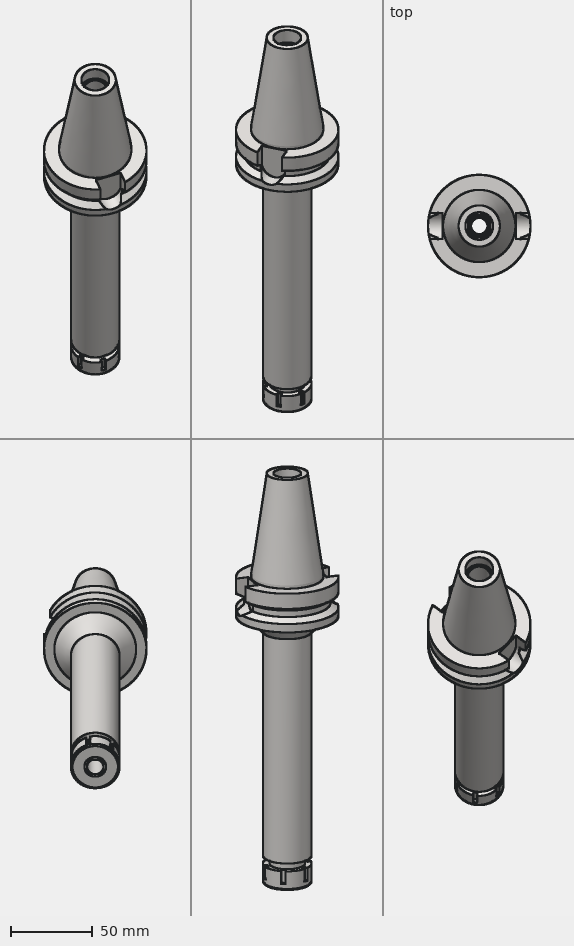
import cadquery as cq
import math


GAUGE_DIA = 44.3
TAPER_LENGTH = 65.3
TAPER_RATIO = 7 / 24
TAPER_END_DIA = GAUGE_DIA - TAPER_LENGTH * TAPER_RATIO
OVERALL_LENGTH = 265.5
NOSE_Z = TAPER_LENGTH - OVERALL_LENGTH

FLANGE_DIA = 63.0
FLANGE_TOP_Z = -2.0
FLANGE_BOTTOM_Z = -27.0
GROOVE_DIA = 53.0
GROOVE_MID_Z = -16.7
GROOVE_MOUTH = 9.8
GROOVE_SIDE_ANGLE = 30.0
GROOVE_SIDE_HEIGHT = (FLANGE_DIA - GROOVE_DIA) / 2 * math.tan(math.radians(GROOVE_SIDE_ANGLE))
GROOVE_FLOOR = GROOVE_MOUTH - 2 * GROOVE_SIDE_HEIGHT

KEYWAY_WIDTH = 16.2
KEYWAY_FLOOR_X = 22.5
KEYWAY_BOTTOM_Z = -23.0

SHANK_DIA = 30.0
SHANK_CONE_HEIGHT = 10.0
SHANK_CONE_DIA = SHANK_DIA + 2 * SHANK_CONE_HEIGHT
SHANK_END_Z = -182.5

NUT_DIA = SHANK_DIA
NUT_HEIGHT = 12.5
NUT_TOP_Z = NOSE_Z + NUT_HEIGHT
NUT_CHAMFER = 1.0
SLOT_COUNT = 6
SLOT_WIDTH = 2.7
SLOT_HEIGHT = 8.2
SLOT_DEPTH = 2.0

NECK_DIA = 22.0
NUT_FLOOR_THICKNESS = 4.0
NECK_END_Z = NOSE_Z + NUT_FLOOR_THICKNESS

COUNTERBORE_DIA = 17.0
COUNTERBORE_DEPTH = 9.0
DRAWBAR_BORE_DIA = 14.0
DRAWBAR_BORE_DEPTH = 31.8
CLEARANCE_BORE_DIA = 12.2

COLLET_DIA = 17.0
COLLET_BORE_DIA = 10.0
COLLET_HALF_ANGLE = 8.0
COLLET_NOSE_DIA = 13.3
COLLET_CONE_HEIGHT = (COLLET_DIA - CLEARANCE_BORE_DIA) / 2 / math.tan(math.radians(COLLET_HALF_ANGLE))
COLLET_TOP_Z = NECK_END_Z + COLLET_CONE_HEIGHT


def turned(diameter_height_points):
    """Solid of revolution about Z, from (diameter, z) points closed along the axis."""
    first_z = diameter_height_points[0][1]
    last_z = diameter_height_points[-1][1]
    profile = [(diameter / 2, z) for diameter, z in diameter_height_points]
    profile = [(0, first_z)] + profile + [(0, last_z)]
    return cq.Workplane("XZ").polyline(profile).close().revolve(360, (0, 0), (0, 1))


def cylinder(diameter, bottom_z, top_z):
    return cq.Workplane("XY").workplane(offset=bottom_z).circle(diameter / 2).extrude(top_z - bottom_z)


def collet_blank():
    """Outside of the collet, which is also the shape of its seat in the holder and the nut."""
    return turned([
        (CLEARANCE_BORE_DIA, COLLET_TOP_Z),
        (COLLET_DIA, NECK_END_Z),
        (COLLET_NOSE_DIA, NOSE_Z),
    ])


def holder_blank():
    return turned([
        (TAPER_END_DIA, TAPER_LENGTH),
        (GAUGE_DIA, 0),
        (GAUGE_DIA, FLANGE_TOP_Z),
        (FLANGE_DIA, FLANGE_TOP_Z),
        (FLANGE_DIA, GROOVE_MID_Z + GROOVE_MOUTH / 2),
        (GROOVE_DIA, GROOVE_MID_Z + GROOVE_FLOOR / 2),
        (GROOVE_DIA, GROOVE_MID_Z - GROOVE_FLOOR / 2),
        (FLANGE_DIA, GROOVE_MID_Z - GROOVE_MOUTH / 2),
        (FLANGE_DIA, FLANGE_BOTTOM_Z),
        (SHANK_CONE_DIA, FLANGE_BOTTOM_Z),
        (SHANK_DIA, FLANGE_BOTTOM_Z - SHANK_CONE_HEIGHT),
        (SHANK_DIA, SHANK_END_Z),
        (NECK_DIA, SHANK_END_Z),
        (NECK_DIA, NECK_END_Z),
    ])


def holder_bore():
    counterbore_z = TAPER_LENGTH - COUNTERBORE_DEPTH
    drawbar_bore_z = TAPER_LENGTH - DRAWBAR_BORE_DEPTH
    return turned([
        (COUNTERBORE_DIA, TAPER_LENGTH),
        (COUNTERBORE_DIA, counterbore_z),
        (DRAWBAR_BORE_DIA, counterbore_z),
        (DRAWBAR_BORE_DIA, drawbar_bore_z),
        (CLEARANCE_BORE_DIA, drawbar_bore_z),
        (CLEARANCE_BORE_DIA, COLLET_TOP_Z),
    ])


def keyway(side):
    """Round-bottomed keyway cutter, for the +X side (side = 1) or the -X side (side = -1)."""
    half_width = KEYWAY_WIDTH / 2
    arc_start_z = KEYWAY_BOTTOM_Z + half_width
    return (
        cq.Workplane("YZ")
        .workplane(offset=side * KEYWAY_FLOOR_X)
        .moveTo(-half_width, FLANGE_TOP_Z)
        .lineTo(-half_width, arc_start_z)
        .threePointArc((0, KEYWAY_BOTTOM_Z), (half_width, arc_start_z))
        .lineTo(half_width, FLANGE_TOP_Z)
        .close()
        .extrude(side * FLANGE_DIA / 2)
    )


def make_holder():
    holder = holder_blank().cut(holder_bore()).cut(collet_blank())
    for side in (-1, 1):
        holder = holder.cut(keyway(side))
    return holder


def make_collet():
    return collet_blank().cut(cylinder(COLLET_BORE_DIA, NOSE_Z, COLLET_TOP_Z))


def spanner_slot(angle):
    """Cutter for one spanner slot, open at the top and the outside of the nut."""
    slot_floor_radius = NUT_DIA / 2 - SLOT_DEPTH
    return (
        cq.Workplane("XY")
        .box(NUT_DIA, SLOT_WIDTH, SLOT_HEIGHT, centered=(False, True, False))
        .translate((slot_floor_radius, 0, NUT_TOP_Z - SLOT_HEIGHT))
        .rotate((0, 0, 0), (0, 0, 1), angle)
    )


def make_nut():
    nut = cylinder(NUT_DIA, NOSE_Z, NUT_TOP_Z).faces("<Z").edges().chamfer(NUT_CHAMFER)
    nut = nut.cut(cylinder(NECK_DIA, NECK_END_Z, NUT_TOP_Z))
    nut = nut.cut(collet_blank())
    for index in range(SLOT_COUNT):
        nut = nut.cut(spanner_slot(index * 360 / SLOT_COUNT))
    return nut


holder = make_holder()
collet = make_collet()
nut = make_nut()

result = cq.Compound.makeCompound([holder.val(), collet.val(), nut.val()])